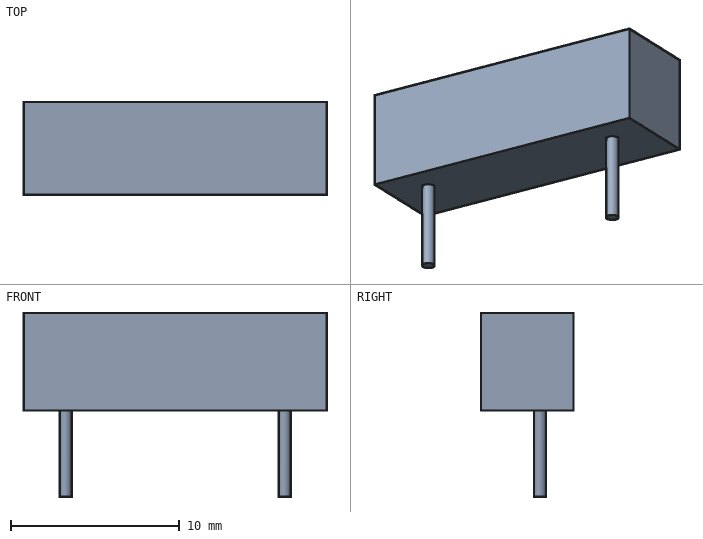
import cadquery as cq

housing_length = 18.0
housing_width = 5.5
housing_height = 5.8

overall_height = 10.9
pin_diameter = 0.74
pin_length = overall_height - housing_height
pin_spacing = 13.0
pin_offset_y = 0.75


def make_housing():
    """Plain rectangular housing."""
    return cq.Workplane("XY").box(
        housing_length, housing_width, housing_height, centered=(True, True, False)
    )


def make_pin(x):
    """Straight round pin hanging from the underside of the housing."""
    return (
        cq.Workplane("XY")
        .center(x, pin_offset_y)
        .circle(pin_diameter / 2)
        .extrude(-pin_length)
    )


housing = make_housing()
pins = [make_pin(side * pin_spacing / 2) for side in (-1, 1)]

result = cq.Compound.makeCompound([housing.val(), *[pin.val() for pin in pins]])